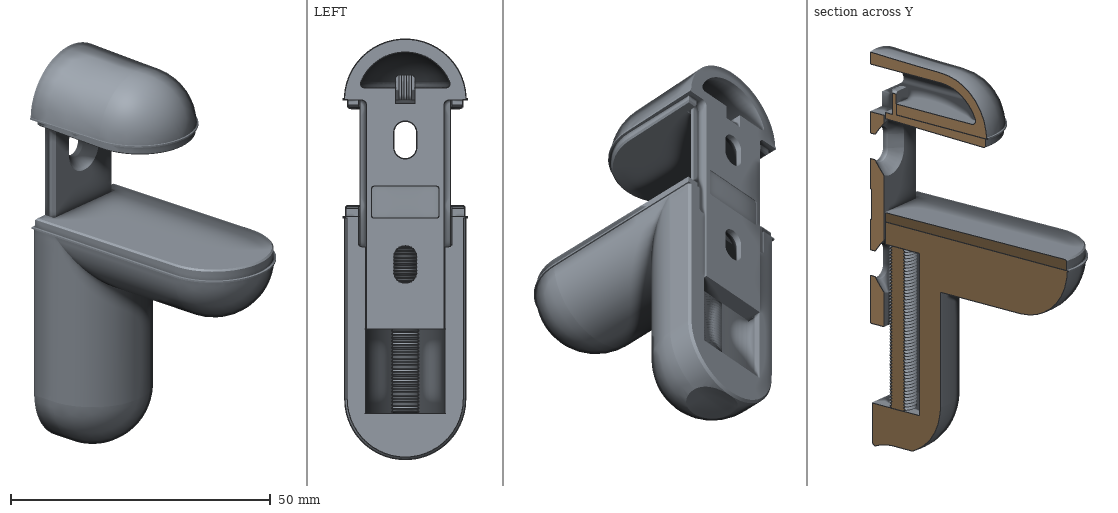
import cadquery as cq
total_height = 81.0

cap_base_z = 69.25
cap_length = 17.2
cap_back_radius = total_height - cap_base_z
cap_front_radius = 11.3
rim_half_width = 12.0
rim_front_half_width = 11.7
rim_height = 0.3
cavity_radius = 9.2
cavity_floor_z = 71.6
cavity_fillet = 0.8

spine_half_width = 7.45
spine_thickness = 2.2
flange_half_width = 8.75
plate_thickness = 3.4
flange_chamfer = 0.6
plate_bottom_z = 25.1
shoulder_radius = 1.05

slot_width = 4.4
slot_length = 7.2
upper_slot_z = 61.6
slot_spacing = 24.0
slot_land = 1.2
countersink_angle = 45.0
label_width = 13.0
label_height = 6.15
label_z = 49.6
label_depth = 0.2
label_corner_radius = 0.5

notch_width = 3.7
notch_bottom_z = 68.6
notch_depth = 6.3
clip_thickness = 1.45
clip_top_z = 74.0
clip_groove_width = 0.4
clip_groove_offset = 0.5
clip_rib_depth = 0.5
clip_rib_width = 2.4
clip_chamfer = 0.4

back_x = 0.4
leg_seam_x = 5.6
jaw_radius = 11.7
leg_end_z = jaw_radius
relief_z = 1.1
relief_mid_x = 3.1
relief_mid_z = 0.8
arm_z = 46.8
arm_seam_x = 36.5
back_chamfer = 0.5

guide_clearance = 0.25
guide_lip_bottom_z = 41.0
guide_corner_radius = 0.7
neck_half_width = spine_half_width + guide_clearance
pocket_half_width = 7.9
guide_lip_x = 1.7
pocket_arc_x = 4.2
pocket_floor_z = 8.9
pocket_top_z = 42.1

pad_inset = 0.5
pad_chamfer = 0.3
pad_plate_gap = 0.25
lower_pad_back_x = 1.0
lower_pad_back_top_z = 48.7
lower_pad_front_top_z = 49.0
upper_pad_back_x = 1.2
upper_pad_back_bottom_z = 67.95
upper_pad_front_bottom_z = 67.4

screw_x = 6.65
screw_radius = 2.7
thread_pitch = 0.65
thread_depth = 0.3


def block(x0, x1, half_width, z0, z1):
    """Box between two X and two Z positions, centred on Y = 0."""
    return cq.Workplane("XY").box(x1 - x0, 2 * half_width, z1 - z0, centered=(False, True, False)).translate(
        (x0, 0, z0)
    )


def round_ended_plan(x0, seam_x, back_half_width, end_radius, z0, z1):
    """Plate with a straight back edge and a semicircular front end."""
    return (
        cq.Workplane("XY", origin=(0, 0, z0))
        .moveTo(x0, -back_half_width)
        .lineTo(seam_x, -end_radius)
        .threePointArc((seam_x + end_radius, 0), (seam_x, end_radius))
        .lineTo(x0, back_half_width)
        .close()
        .extrude(z1 - z0)
    )


def sphere_ended_rod(start_x, seam_x, back_radius, end_radius, axis_z):
    """Round rod along X with a hemispherical front end."""
    return (
        cq.Workplane("XZ")
        .moveTo(start_x, axis_z)
        .lineTo(start_x, axis_z + back_radius)
        .lineTo(seam_x, axis_z + end_radius)
        .radiusArc((seam_x + end_radius, axis_z), end_radius)
        .close()
        .revolve(360, (start_x, axis_z, 0), (seam_x, axis_z, 0))
    )


def cap_shell():
    span = total_height
    dome = sphere_ended_rod(0, cap_length, cap_back_radius, cap_front_radius, cap_base_z)
    dome = dome.intersect(block(0, span, span, cap_base_z, total_height))
    rim = round_ended_plan(
        0, cap_length, rim_half_width, rim_front_half_width, cap_base_z, cap_base_z + rim_height
    )
    cavity = sphere_ended_rod(0, cap_length, cavity_radius, cavity_radius, cap_base_z)
    cavity = cavity.intersect(block(0, span, span, cavity_floor_z, total_height))
    cavity = cavity.faces("<Z").edges("%CIRCLE").fillet(cavity_fillet)
    return dome.union(rim).cut(cavity)


def plate():
    spine = block(0, plate_thickness, spine_half_width, plate_bottom_z, cap_base_z)
    flange = block(spine_thickness, plate_thickness, flange_half_width, plate_bottom_z, cap_base_z)
    flange = flange.edges(">X and |Z").chamfer(flange_chamfer)
    body = spine.union(flange)
    for side in (-1, 1):
        shoulder = (
            cq.Workplane("YZ")
            .moveTo(side * spine_half_width, cap_base_z - shoulder_radius)
            .radiusArc((side * (spine_half_width + shoulder_radius), cap_base_z), side * shoulder_radius)
            .lineTo(side * spine_half_width, cap_base_z)
            .close()
            .extrude(spine_thickness)
        )
        body = body.union(shoulder)
    return body


def plate_openings():
    openings = block(0, label_depth, label_width / 2, label_z - label_height / 2, label_z + label_height / 2)
    openings = openings.edges("|X").fillet(label_corner_radius)
    for slot_z in (upper_slot_z, upper_slot_z - slot_spacing):
        slot = (
            cq.Workplane("YZ", origin=(0, 0, slot_z)).slot2D(slot_length, slot_width, 90).extrude(plate_thickness)
        )
        countersink = (
            cq.Workplane("YZ", origin=(slot_land, 0, slot_z))
            .slot2D(slot_length, slot_width, 90)
            .extrude(plate_thickness - slot_land, taper=-countersink_angle)
        )
        openings = openings.union(slot).union(countersink)
    return openings


def clip_notch():
    floor_gap = block(0, notch_depth, notch_width / 2, cap_base_z, cavity_floor_z)
    plate_gap = block(0, plate_thickness, notch_width / 2, notch_bottom_z, cap_base_z)
    return floor_gap.union(plate_gap)


def make_cap():
    return cap_shell().union(plate()).cut(plate_openings()).cut(clip_notch())


def leg():
    """Upright with a flat, chamfered back and round sides, ending in a rounded foot."""
    straight = block(back_x, leg_seam_x, jaw_radius, leg_end_z, arm_z)
    straight = straight.edges("<X and |Z").chamfer(back_chamfer)
    front = cq.Workplane("XY", origin=(leg_seam_x, 0, leg_end_z)).circle(jaw_radius).extrude(arm_z - leg_end_z)
    front = front.intersect(block(leg_seam_x, total_height, jaw_radius, leg_end_z, arm_z))
    return straight.union(front).union(foot())


def foot():
    """Half-round end of the leg with a dome in front."""
    rounded = (
        cq.Workplane("XZ")
        .moveTo(back_x, leg_end_z)
        .lineTo(back_x, back_chamfer)
        .lineTo(back_x + back_chamfer, leg_end_z - jaw_radius)
        .lineTo(leg_seam_x, leg_end_z - jaw_radius)
        .radiusArc((leg_seam_x + jaw_radius, leg_end_z), -jaw_radius)
        .close()
        .revolve(360, (0, leg_end_z, 0), (1, leg_end_z, 0))
        .intersect(block(back_x, total_height, jaw_radius, 0, leg_end_z))
    )
    return rounded.cut(foot_relief())


def foot_relief():
    """Flat under the foot that sweeps down to the back edge."""
    return (
        cq.Workplane("XZ")
        .moveTo(back_x + back_chamfer, 0)
        .threePointArc((relief_mid_x, relief_mid_z), (leg_seam_x, relief_z))
        .hLine(jaw_radius)
        .vLine(-relief_z)
        .close()
        .extrude(jaw_radius, both=True)
    )


def arm():
    rod = sphere_ended_rod(leg_seam_x, arm_seam_x, jaw_radius, jaw_radius, arm_z)
    rod = rod.intersect(block(leg_seam_x, total_height, total_height, 0, arm_z))
    rim = round_ended_plan(
        back_x, arm_seam_x, rim_half_width, rim_half_width, arm_z - rim_height, arm_z
    )
    return rod.union(rim)


def guide_and_pocket():
    wide = flange_half_width + guide_clearance
    channel_front = plate_thickness + guide_clearance
    channel = block(guide_lip_x, channel_front, wide, plate_bottom_z, arm_z)
    entry = block(back_x, guide_lip_x, wide, guide_lip_bottom_z, arm_z)
    entry = entry.edges("<Z and |X").fillet(guide_corner_radius)
    neck = block(back_x, guide_lip_x, neck_half_width, pocket_floor_z, arm_z)
    pocket = round_ended_plan(
        guide_lip_x, pocket_arc_x, pocket_half_width, pocket_half_width, pocket_floor_z, pocket_top_z
    )
    return channel.union(entry).union(neck).union(pocket)


def make_lower_jaw():
    return leg().union(foot()).union(arm()).cut(guide_and_pocket())


def plate_gap(z0, z1):
    """Space kept free around the plate where it passes a pad."""
    return block(0, plate_thickness + pad_plate_gap, flange_half_width + pad_plate_gap, z0, z1)


def sloped_band(front_x, seat_z, back_z, front_z, back_x_pos):
    """Wedge between the flat seat of a pad and its sloping clamping face."""
    return (
        cq.Workplane("XZ")
        .polyline([(back_x_pos, seat_z), (back_x_pos, back_z), (front_x, front_z), (front_x, seat_z)])
        .close()
        .extrude(total_height / 2, both=True)
    )


def make_lower_pad():
    radius = rim_half_width - pad_inset
    outline = round_ended_plan(lower_pad_back_x, arm_seam_x, radius, radius, arm_z, total_height)
    band = sloped_band(
        arm_seam_x + radius, arm_z, lower_pad_back_top_z, lower_pad_front_top_z, lower_pad_back_x
    )
    pad = outline.intersect(band).faces(">Z").edges().chamfer(pad_chamfer)
    return pad.cut(plate_gap(arm_z, total_height))


def make_clip():
    """Upright clip with a grooved rib down its back face."""
    rib_back = notch_depth - clip_thickness
    rib_front = rib_back + clip_rib_depth
    stem = block(rib_front, notch_depth, notch_width / 2, cap_base_z, clip_top_z)
    stem = stem.edges(">Z and |X").chamfer(clip_chamfer)
    clip = stem.union(block(rib_back, rib_front, clip_rib_width / 2, cap_base_z, clip_top_z))
    for side in (-1, 1):
        groove = block(rib_back, rib_front, clip_groove_width / 2, cap_base_z, clip_top_z)
        clip = clip.cut(groove.translate((0, side * clip_groove_offset, 0)))
    return clip


def make_upper_pad():
    radius = cap_front_radius - pad_inset / 2
    outline = round_ended_plan(upper_pad_back_x, cap_length, radius, radius, 0, cap_base_z)
    band = sloped_band(
        cap_length + radius, cap_base_z, upper_pad_back_bottom_z, upper_pad_front_bottom_z, upper_pad_back_x
    )
    pad = outline.intersect(band).faces("<Z").edges().chamfer(pad_chamfer)
    return pad.cut(plate_gap(0, cap_base_z)).union(make_clip())


def make_screw():
    """Rod with ring-shaped thread crests, standing on the pocket floor."""
    length = pocket_top_z - pocket_floor_z
    root = screw_radius - thread_depth
    turns = int(length / thread_pitch)
    profile = cq.Workplane("XZ").lineTo(root, 0)
    for turn in range(turns):
        profile = profile.lineTo(screw_radius, (turn + 0.5) * thread_pitch)
        profile = profile.lineTo(root, (turn + 1) * thread_pitch)
    rod = profile.lineTo(root, length).lineTo(0, length).close().revolve(360, (0, 0, 0), (0, 1, 0))
    return rod.translate((screw_x, 0, pocket_floor_z))


cap = make_cap()
lower_jaw = make_lower_jaw()
lower_pad = make_lower_pad()
upper_pad = make_upper_pad()
screw = make_screw()

result = cq.Compound.makeCompound(
    [cap.val(), lower_jaw.val(), lower_pad.val(), upper_pad.val(), screw.val()]
)